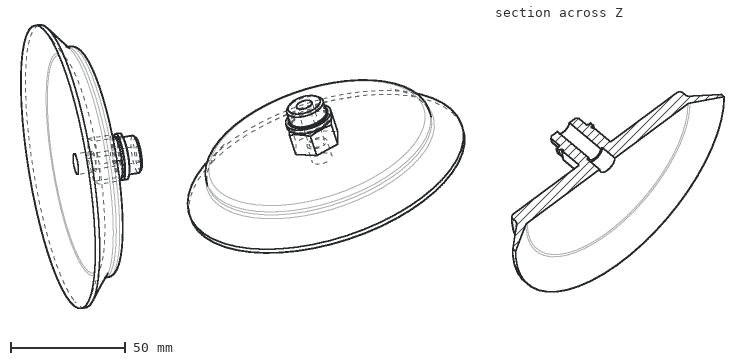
import cadquery as cq
import math


lip_radius = 62.5
lip_thickness = 2.0
body_radius = 51.0
body_back = 16.0
shoulder = 11.5
floor_depth = 8.0
floor_radius = 48.6
outside_fillet = 2.0
floor_fillet = 2.0

hex_flats = 19.0
hex_corners = hex_flats / math.cos(math.pi / 6)
hex_end = 26.8
hex_chamfer_angle = 20

neck_radius = 17.9 / 2
collar_radius = 20.5 / 2
collar_start = 27.6
collar_end = 29.5
relief_end = 29.9
spigot_radius = 16.6 / 2
spigot_chamfer = 1.0
total_length = 36.0

bore_diameter = 7.0
counterbore_diameter = 9.0
counterbore_depth = body_back - floor_depth


def revolve_profile(points):
    """Turn a closed (radius, y) outline around the Y axis."""
    return cq.Workplane("XY").polyline(points).close().revolve(360, (0, 0, 0), (0, 1, 0))


def cylinder_from(start, diameter, length):
    """Cylinder on the Y axis running from start toward +Y."""
    return cq.Workplane("XZ", origin=(0, start, 0)).circle(diameter / 2).extrude(-length)


def circle_edges(solid, radius, y):
    """Select the circular edges with the given radius at the given y."""
    tolerance = 0.01
    return solid.edges("%CIRCLE").filter(
        lambda edge: abs(edge.Center().y - y) < tolerance and abs(edge.radius() - radius) < tolerance
    )


def make_cup():
    cup = revolve_profile([
        (0, floor_depth),
        (floor_radius, floor_depth),
        (lip_radius, 0),
        (lip_radius, lip_thickness),
        (body_radius, shoulder),
        (body_radius, body_back),
        (0, body_back),
    ])
    cup = circle_edges(cup, body_radius, body_back).fillet(outside_fillet)
    cup = circle_edges(cup, body_radius, shoulder).fillet(outside_fillet)
    return circle_edges(cup, floor_radius, floor_depth).fillet(floor_fillet)


def make_hex():
    prism = (
        cq.Workplane("XZ", origin=(0, body_back, 0))
        .transformed(rotate=(0, 0, 90))
        .polygon(6, hex_corners)
        .extrude(body_back - hex_end)
    )
    corner_radius = hex_corners / 2
    corner_drop = (corner_radius - neck_radius) * math.tan(math.radians(hex_chamfer_angle))
    envelope = revolve_profile([
        (0, body_back),
        (corner_radius, body_back),
        (corner_radius, hex_end - corner_drop),
        (neck_radius, hex_end),
        (0, hex_end),
    ])
    return prism.intersect(envelope)


def make_turned_end():
    return revolve_profile([
        (0, hex_end),
        (neck_radius, hex_end),
        (neck_radius, collar_start),
        (collar_radius, collar_start),
        (collar_radius, collar_end),
        (neck_radius, collar_end),
        (neck_radius, relief_end),
        (spigot_radius, relief_end),
        (spigot_radius, total_length - spigot_chamfer),
        (spigot_radius - spigot_chamfer, total_length),
        (0, total_length),
    ])


bore = cylinder_from(0, bore_diameter, total_length)
counterbore = cylinder_from(floor_depth, counterbore_diameter, counterbore_depth)

result = make_cup().union(make_hex()).union(make_turned_end()).cut(bore).cut(counterbore)